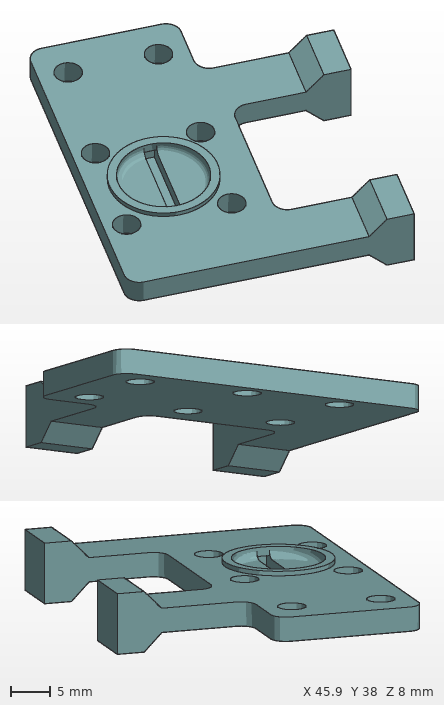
import cadquery as cq

length = 45.85
depth = 38.0
plate_thickness = 3.2
corner_radius = 2.0
arm_width = 7.75
left_arm_x = 9.75
right_arm_x = length - arm_width
shoulder_y = 20.0
notch_y = 22.0

tip_height = 8.0
tip_flat = 3.6
tip_flare = (tip_height - plate_thickness) / 2

hole_diameter = 3.6
side_hole_x = 5.3
side_hole_y = 4.0
side_hole_spacing = 12.0
square_hole_spacing = 14.0

ring_x = 27.88
ring_y = 10.0
ring_diameter = 14.4
ring_height = 0.6
recess_diameter = 12.0
recess_depth = 1.5
recess_radius = 1.0
slot_width = 1.7
slot_depth = 1.85
undercut_length = 14.05
undercut_roof_depth = 1.2

plate_top = plate_thickness / 2
ring_top = plate_top + ring_height


def make_plate():
    outline = [
        (0, 0),
        (length, 0),
        (length, depth),
        (right_arm_x, depth),
        (right_arm_x, notch_y),
        (left_arm_x + arm_width, notch_y),
        (left_arm_x + arm_width, depth),
        (left_arm_x, depth),
        (left_arm_x, shoulder_y),
        (0, shoulder_y),
    ]
    plate = (
        cq.Workplane("XY", origin=(0, 0, -plate_top))
        .polyline(outline)
        .close()
        .extrude(plate_thickness)
    )
    below_tips = cq.selectors.BoxSelector(
        (-corner_radius, -corner_radius, -tip_height),
        (length + corner_radius, notch_y + corner_radius, tip_height),
    )
    return plate.edges("|Z").edges(below_tips).fillet(corner_radius)


def make_arm_tip(arm_x):
    half = tip_height / 2
    flat_y = depth - tip_flat
    flare_y = flat_y - tip_flare
    profile = [
        (depth, -half),
        (depth, half),
        (flat_y, half),
        (flare_y, plate_top),
        (flare_y, -plate_top),
        (flat_y, -half),
    ]
    return cq.Workplane("YZ").workplane(offset=arm_x).polyline(profile).close().extrude(arm_width)


def make_hole_cutters():
    side_holes = [(side_hole_x, side_hole_y + i * side_hole_spacing) for i in (0, 1)]
    offset = square_hole_spacing / 2
    square_holes = [(ring_x + i * offset, ring_y + j * offset) for i in (-1, 1) for j in (-1, 1)]
    return (
        cq.Workplane("XY")
        .pushPoints(side_holes + square_holes)
        .circle(hole_diameter / 2)
        .extrude(plate_thickness, both=True)
    )


def make_disc(diameter, bottom, top):
    return (
        cq.Workplane("XY", origin=(ring_x, ring_y, bottom))
        .circle(diameter / 2)
        .extrude(top - bottom)
    )


def make_recess_cutter():
    floor = ring_top - recess_depth
    dish = make_disc(recess_diameter, floor, ring_top).faces("<Z").edges().fillet(recess_radius)
    slot_bottom = floor - slot_depth
    slot = (
        cq.Workplane("XY", origin=(ring_x, ring_y, slot_bottom))
        .rect(recess_diameter, slot_width)
        .extrude(ring_top - slot_bottom)
        .intersect(make_disc(recess_diameter, slot_bottom, ring_top))
    )
    undercut = (
        cq.Workplane("XY", origin=(ring_x, ring_y, slot_bottom))
        .rect(undercut_length, slot_width)
        .extrude(ring_top - undercut_roof_depth - slot_bottom)
    )
    return dish.union(slot).union(undercut)


result = make_plate()
for arm_x in (left_arm_x, right_arm_x):
    result = result.union(make_arm_tip(arm_x))
result = result.union(make_disc(ring_diameter, -plate_top, ring_top))
result = result.cut(make_hole_cutters()).cut(make_recess_cutter())